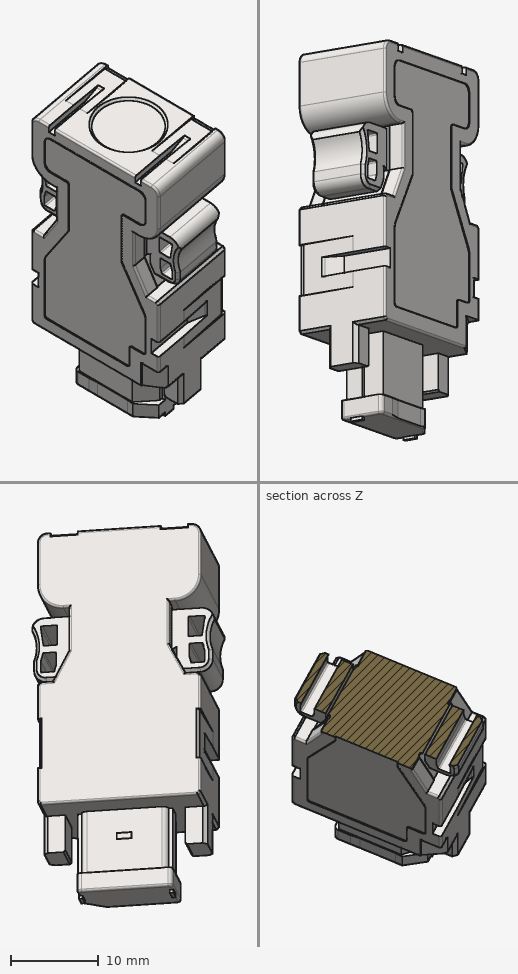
import cadquery as cq
import math

HEIGHT = 43.1
HALF_WIDTH = 9.45
HALF_DEPTH = 6.0
BODY_BOTTOM = 10.1
SHOULDER_Z = 25.0
SHOULDER_X = 7.67
NECK_X = 5.78
NECK_BOTTOM = 28.65
HEAD_BOTTOM = 33.88
HEAD_TOP_RADIUS = 1.1
HEAD_LOWER_RADIUS = 2.97
EDGE_ROUND = 0.25
CORNER_BEVEL = 0.35

PICK_MARGIN = 0.05

PANEL_DEPTH = 0.15
PANEL_X = 7.45
PANEL_TOP = 41.1
PANEL_HEAD_BOTTOM = 35.8
PANEL_NECK_X = 3.92
PANEL_NECK_BOTTOM = 28.15
PANEL_FLANK_Z = 21.65
PANEL_BOTTOM = 12.05
PANEL_STEP_X = 5.1
PANEL_STEP_Z = 15.47
PANEL_HEAD_RADIUS = 0.95
PANEL_FLANK_RADIUS = 1.3
PANEL_CORNER_RADIUS = 0.35

CLIP_X = 10.55
CLIP_HALF_DEPTH = 3.6
CLIP_TOP = 33.6
CLIP_BOTTOM = 26.0
CLIP_FOOT_X = 10.35
CLIP_FREE_X = 6.25
CLIP_FREE_TOP = 29.1
CLIP_ROOT_X = 5.17
CLIP_ROOT_BOTTOM = 28.45
CLIP_TOP_ROUND_X = 9.1
CLIP_TIP_Z = 32.3
CLIP_HOLLOW_X = 10.05
CLIP_HOLLOW_Z = 30.3
CLIP_GRIP_BOTTOM = 28.58
CLIP_FOOT_RADIUS = 1.42
CLIP_EDGE_BEVEL = 0.4
WINDOW_RADIUS = 0.17
WINDOW_UPPER = [(-7.6, 32.65), (-9.53, 32.65), (-9.2, 30.25), (-7.6, 30.25)]
WINDOW_LOWER = [(-7.7, 29.4), (-9.22, 29.4), (-9.5, 28.35), (-9.5, 27.02), (-7.95, 27.02), (-7.7, 27.8)]
SEAT_HALF_DEPTH = 4.05
SEAT_DEPTH = 0.1

GROOVE_END_Y = 2.97
RAMP_TOP_Y = 2.55
RAMP_FOOT_Y = 0.45
RAMP_TOP_DEPTH = 0.3
SIDE_GROOVE_DEPTH = 1.08
SIDE_GROOVE_BOTTOM = 16.38
SIDE_GROOVE_TOP = 18.65
TOP_GROOVE_DEPTH = 0.95
TOP_GROOVE_X = 6.4
TOP_GROOVE_WIDTH = 0.85

RELIEF_START_Y = -1.55
RELIEF_BEVEL_Y = 5.4
RELIEF_DEPTH = 0.17
RELIEF_BACK_DEPTH = 0.5
SIDE_RELIEF_BOTTOM = 14.52
SIDE_RELIEF_TOP = 20.5
TOP_RELIEF_INNER_X = 4.8
TOP_RELIEF_OUTER_X = 7.97

CAP_RADIUS = 4.5
CAP_FLOOR_RADIUS = 4.2
CAP_DEPTH = 0.3

NOTCH_X = 6.8
NOTCH_TOP = 13.88
NOTCH_TOP_BEVEL = 0.2
NOTCH_INNER_DEPTH = 0.25
NOTCH_OUTER_DEPTH = 1.72

LEG_INNER_X = 6.95
LEG_BOTTOM = 5.6
LEG_HALF_DEPTH = 2.03
LEG_CHAMFER = 0.47
LEG_TIP_CHAMFER = 0.2

PLUG_X = 5.05
PLUG_HALF_DEPTH = 2.7
PLUG_BACK_RADIUS = 0.7
PLUG_KEY_X = 2.85
PLUG_KEY_DEPTH = 2.2
FLANGE_LEFT_X = 5.6
FLANGE_RIGHT_X = 5.47
FLANGE_HALF_DEPTH = 2.9
FLANGE_BOTTOM = 0.35
FLANGE_TOP = 2.6
FLANGE_RADIUS = 0.5
FLANGE_EDGE = 0.3
FLANGE_KEY_X = 3.05
FLANGE_KEY_DEPTH = 1.72
FLANGE_RELIEF_DEPTH = 0.1
FLANGE_RELIEF_LEFT_X = -2.33
FLANGE_RELIEF_RIGHT_X = 2.15
FLANGE_RELIEF_START_X = -3.5
RIB_X = 5.47
RIB_FRONT_Y = -0.1
RIB_BACK_Y = 2.03
RIB_TIP_BACK_Y = 1.5
RIB_TIP_INNER_X = 5.05

CATCH_HALF_WIDTH = 0.85
CATCH_Y = 2.85
CATCH_BOTTOM = 6.45
CATCH_TOP = 7.2


def box(x0, x1, y0, y1, z0, z1):
    """Block given by its limits along each axis."""
    return cq.Workplane("XY").box(x1 - x0, y1 - y0, z1 - z0, centered=False).translate((x0, y0, z0))


def both_sides(left):
    """The feature together with its mirror image across the YZ plane."""
    return left.union(left.mirror("YZ"))


def front_sketch(y):
    """Plane facing -Y at depth y; local axes are X and Z, extrusion runs toward -Y."""
    return cq.Workplane("XZ", origin=(0, y, 0))


def at_points(points):
    """Selector for the edges along Y that stand on the given (x, z) corners."""
    picker = None
    for x, z in points:
        near = (x - PICK_MARGIN, -HEIGHT, z - PICK_MARGIN)
        far = (x + PICK_MARGIN, HEIGHT, z + PICK_MARGIN)
        one = cq.selectors.BoxSelector(near, far)
        picker = one if picker is None else picker + one
    return picker


def make_housing():
    bend = math.sqrt(0.5)
    half = (
        front_sketch(HALF_DEPTH)
        .moveTo(0, HEIGHT)
        .lineTo(-HALF_WIDTH + HEAD_TOP_RADIUS, HEIGHT)
        .threePointArc(
            (-HALF_WIDTH + HEAD_TOP_RADIUS * (1 - bend), HEIGHT - HEAD_TOP_RADIUS * (1 - bend)),
            (-HALF_WIDTH, HEIGHT - HEAD_TOP_RADIUS),
        )
        .lineTo(-HALF_WIDTH, HEAD_BOTTOM + HEAD_LOWER_RADIUS)
        .threePointArc(
            (-HALF_WIDTH + HEAD_LOWER_RADIUS * (1 - bend), HEAD_BOTTOM + HEAD_LOWER_RADIUS * (1 - bend)),
            (-HALF_WIDTH + HEAD_LOWER_RADIUS, HEAD_BOTTOM),
        )
        .lineTo(-NECK_X, HEAD_BOTTOM)
        .lineTo(-NECK_X, NECK_BOTTOM)
        .lineTo(-SHOULDER_X, SHOULDER_Z)
        .lineTo(-HALF_WIDTH + CORNER_BEVEL, SHOULDER_Z)
        .lineTo(-HALF_WIDTH, SHOULDER_Z - CORNER_BEVEL)
        .lineTo(-HALF_WIDTH, BODY_BOTTOM + CORNER_BEVEL)
        .lineTo(-HALF_WIDTH + CORNER_BEVEL, BODY_BOTTOM)
        .lineTo(0, BODY_BOTTOM)
        .close()
        .extrude(2 * HALF_DEPTH)
    )
    return both_sides(half).clean().faces("<Y or >Y").edges().fillet(EDGE_ROUND)


def make_panel():
    head = [(s * PANEL_X, z) for s in (-1, 1) for z in (PANEL_TOP, PANEL_HEAD_BOTTOM)]
    flanks = [(s * PANEL_X, PANEL_FLANK_Z) for s in (-1, 1)]
    neck = [(s * PANEL_NECK_X, PANEL_HEAD_BOTTOM) for s in (-1, 1)]
    step = [(PANEL_X, PANEL_STEP_Z), (PANEL_STEP_X, PANEL_STEP_Z), (PANEL_STEP_X, PANEL_BOTTOM)]
    outline = [
        (-PANEL_X, PANEL_TOP),
        (-PANEL_X, PANEL_HEAD_BOTTOM),
        (-PANEL_NECK_X, PANEL_HEAD_BOTTOM),
        (-PANEL_NECK_X, PANEL_NECK_BOTTOM),
        (-PANEL_X, PANEL_FLANK_Z),
        (-PANEL_X, PANEL_BOTTOM),
        (PANEL_STEP_X, PANEL_BOTTOM),
        (PANEL_STEP_X, PANEL_STEP_Z),
        (PANEL_X, PANEL_STEP_Z),
        (PANEL_X, PANEL_FLANK_Z),
        (PANEL_NECK_X, PANEL_NECK_BOTTOM),
        (PANEL_NECK_X, PANEL_HEAD_BOTTOM),
        (PANEL_X, PANEL_HEAD_BOTTOM),
        (PANEL_X, PANEL_TOP),
    ]
    small = neck + step + [(-PANEL_X, PANEL_BOTTOM)]
    panel = front_sketch(PANEL_DEPTH - HALF_DEPTH).polyline(outline).close().extrude(2 * PANEL_DEPTH)
    for corners, radius in (
        (head, PANEL_HEAD_RADIUS),
        (flanks, PANEL_FLANK_RADIUS),
        (small, PANEL_CORNER_RADIUS),
    ):
        panel = panel.edges("|Y").edges(at_points(corners)).fillet(radius)
    return panel


def make_clip_seat():
    """Shallow cutter that sinks the left neck side and flank behind the clip."""
    outline = [
        (-HALF_WIDTH + HEAD_LOWER_RADIUS, HEAD_BOTTOM),
        (-NECK_X + SEAT_DEPTH, HEAD_BOTTOM),
        (-NECK_X + SEAT_DEPTH, NECK_BOTTOM),
        (-SHOULDER_X + SEAT_DEPTH, SHOULDER_Z),
        (-SHOULDER_X, SHOULDER_Z),
    ]
    return front_sketch(SEAT_HALF_DEPTH).polyline(outline).close().extrude(2 * SEAT_HALF_DEPTH)


def make_clip():
    """Left clip: hooked profile, hollow grip face and bevelled grip edges."""
    foot_mid = CLIP_FOOT_RADIUS * (1 - math.sqrt(0.5))
    clip = (
        front_sketch(CLIP_HALF_DEPTH)
        .moveTo(-CLIP_ROOT_X, CLIP_TOP)
        .lineTo(-CLIP_TOP_ROUND_X, CLIP_TOP)
        .tangentArcPoint((-CLIP_X, CLIP_TIP_Z), relative=False)
        .threePointArc((-CLIP_HOLLOW_X, CLIP_HOLLOW_Z), (-CLIP_FOOT_X, CLIP_GRIP_BOTTOM))
        .lineTo(-CLIP_FOOT_X, CLIP_BOTTOM + CLIP_FOOT_RADIUS)
        .threePointArc(
            (-CLIP_FOOT_X + foot_mid, CLIP_BOTTOM + foot_mid),
            (-CLIP_FOOT_X + CLIP_FOOT_RADIUS, CLIP_BOTTOM),
        )
        .lineTo(-CLIP_FREE_X, CLIP_BOTTOM)
        .lineTo(-CLIP_FREE_X, CLIP_FREE_TOP)
        .lineTo(-CLIP_ROOT_X, CLIP_ROOT_BOTTOM)
        .close()
        .extrude(2 * CLIP_HALF_DEPTH)
    )
    grip_side = cq.selectors.BoxSelector(
        (-CLIP_X, -HEIGHT, CLIP_BOTTOM - 0.45), (-CLIP_FREE_X - 0.45, HEIGHT, CLIP_TIP_Z)
    )
    return clip.faces("<Y or >Y").edges(grip_side).chamfer(CLIP_EDGE_BEVEL)


def clip_windows():
    """Cutter for the two windows through the left clip."""
    cut = None
    for outline in (WINDOW_UPPER, WINDOW_LOWER):
        one = front_sketch(CLIP_HALF_DEPTH).polyline(outline).close().extrude(2 * CLIP_HALF_DEPTH)
        one = one.edges("|Y").fillet(WINDOW_RADIUS)
        cut = one if cut is None else cut.union(one)
    return cut


def side_plane(z):
    """On the left face at height z; extrusion runs toward +Z."""
    return cq.Workplane(cq.Plane((-HALF_WIDTH, 0, z), xDir=(0, 1, 0), normal=(0, 0, 1)))


def top_plane(x):
    """On the top face at position x; extrusion runs toward +X."""
    return cq.Workplane(cq.Plane((x, 0, HEIGHT), xDir=(0, 1, 0), normal=(1, 0, 0)))


def ramp_groove_profile(plane, depth):
    """Groove section along Y; the second local axis is the depth, taken negative into the part."""
    return (
        plane.moveTo(-HALF_DEPTH - 0.45, 0.45)
        .lineTo(-HALF_DEPTH - 0.45, -depth)
        .lineTo(RAMP_FOOT_Y, -depth)
        .lineTo(RAMP_TOP_Y, -RAMP_TOP_DEPTH)
        .lineTo(GROOVE_END_Y, 0)
        .lineTo(GROOVE_END_Y, 0.45)
        .close()
    )


def relief_profile(plane):
    """Relief section along Y, sloping gently inward from the surface to a bevel at the back face."""
    return (
        plane.moveTo(RELIEF_START_Y, 0)
        .lineTo(RELIEF_BEVEL_Y, -RELIEF_DEPTH)
        .lineTo(HALF_DEPTH, -RELIEF_BACK_DEPTH)
        .lineTo(HALF_DEPTH + 0.45, -RELIEF_BACK_DEPTH)
        .lineTo(HALF_DEPTH + 0.45, 0.45)
        .lineTo(RELIEF_START_Y, 0.45)
        .close()
    )


def left_cuts():
    """Grooves and reliefs on the left half."""
    side_groove = ramp_groove_profile(side_plane(SIDE_GROOVE_BOTTOM), SIDE_GROOVE_DEPTH)
    side_relief = relief_profile(side_plane(SIDE_RELIEF_BOTTOM))
    top_groove = ramp_groove_profile(top_plane(-TOP_GROOVE_X - TOP_GROOVE_WIDTH / 2), TOP_GROOVE_DEPTH)
    top_relief = relief_profile(top_plane(-TOP_RELIEF_OUTER_X))
    return (
        side_groove.extrude(SIDE_GROOVE_TOP - SIDE_GROOVE_BOTTOM)
        .union(side_relief.extrude(SIDE_RELIEF_TOP - SIDE_RELIEF_BOTTOM))
        .union(top_groove.extrude(TOP_GROOVE_WIDTH))
        .union(top_relief.extrude(TOP_RELIEF_OUTER_X - TOP_RELIEF_INNER_X))
    )


def make_cap_recess():
    return (
        cq.Workplane("XY", origin=(0, 0, HEIGHT - CAP_DEPTH))
        .circle(CAP_FLOOR_RADIUS)
        .workplane(offset=CAP_DEPTH)
        .circle(CAP_RADIUS)
        .loft()
    )


def make_notch():
    outline = [
        (NOTCH_X, -HALF_DEPTH - 0.45),
        (NOTCH_X, -HALF_DEPTH + NOTCH_INNER_DEPTH),
        (HALF_WIDTH, -HALF_DEPTH + NOTCH_OUTER_DEPTH),
        (HALF_WIDTH + 0.45, -HALF_DEPTH + NOTCH_OUTER_DEPTH),
        (HALF_WIDTH + 0.45, -HALF_DEPTH - 0.45),
    ]
    notch = cq.Workplane("XY", origin=(0, 0, BODY_BOTTOM - 0.45)).polyline(outline).close()
    notch = notch.extrude(NOTCH_TOP - BODY_BOTTOM + 0.45)
    middle = ((NOTCH_X + HALF_WIDTH) / 2, (NOTCH_INNER_DEPTH + NOTCH_OUTER_DEPTH) / 2 - HALF_DEPTH, NOTCH_TOP)
    return notch.edges(cq.selectors.NearestToPointSelector(middle)).chamfer(NOTCH_TOP_BEVEL)


def make_leg():
    """Left guide leg, running into the housing above it."""
    leg = box(-HALF_WIDTH, -LEG_INNER_X, -LEG_HALF_DEPTH, LEG_HALF_DEPTH, LEG_BOTTOM, BODY_BOTTOM + 0.45)
    leg = leg.edges("<X and |Z").chamfer(LEG_CHAMFER)
    return leg.edges(">X and <Z").chamfer(LEG_TIP_CHAMFER)


def keyed_block(left, right, half_depth, key_x, key_depth, z0, z1):
    """Block with its front right corner cut off obliquely from key_x outward."""
    return (
        cq.Workplane("XY", origin=(0, 0, z0))
        .polyline([
            (-left, -half_depth),
            (key_x, -half_depth),
            (right, -half_depth + key_depth),
            (right, half_depth),
            (-left, half_depth),
        ])
        .close()
        .extrude(z1 - z0)
    )


def flange_relief():
    """Shallow tapered-sided relief across the front of the flange."""
    face = -FLANGE_HALF_DEPTH
    floor = face + FLANGE_RELIEF_DEPTH
    outline = [
        (FLANGE_RELIEF_START_X, face),
        (FLANGE_RELIEF_LEFT_X, floor),
        (FLANGE_RELIEF_RIGHT_X, floor),
        (FLANGE_KEY_X, face),
    ]
    return cq.Workplane("XY").polyline(outline).close().extrude(FLANGE_TOP)


def make_plug():
    plug = keyed_block(
        PLUG_X, PLUG_X, PLUG_HALF_DEPTH, PLUG_KEY_X, PLUG_KEY_DEPTH, FLANGE_TOP - 0.45, BODY_BOTTOM + 0.45
    )
    plug = plug.edges("|Z and >Y").fillet(PLUG_BACK_RADIUS)
    flange = keyed_block(
        FLANGE_LEFT_X, FLANGE_RIGHT_X, FLANGE_HALF_DEPTH,
        FLANGE_KEY_X, FLANGE_KEY_DEPTH, FLANGE_BOTTOM, FLANGE_TOP,
    )
    flange = flange.edges("|Z and (>Y or <X)").fillet(FLANGE_RADIUS)
    flange = flange.faces("<Z").edges().fillet(FLANGE_EDGE)
    rib = box(-RIB_X, -PLUG_X + 0.45, RIB_FRONT_Y, RIB_BACK_Y, FLANGE_TOP, BODY_BOTTOM + 0.45)
    tip = box(-RIB_X, -RIB_TIP_INNER_X, RIB_FRONT_Y, RIB_TIP_BACK_Y, 0, FLANGE_TOP + 0.45)
    catch = box(-CATCH_HALF_WIDTH, CATCH_HALF_WIDTH, 0, CATCH_Y, CATCH_BOTTOM, CATCH_TOP)
    return plug.union(flange).cut(flange_relief()).union(catch).union(both_sides(rib.union(tip)))


result = (
    make_housing()
    .cut(make_panel())
    .cut(both_sides(make_clip_seat()))
    .cut(both_sides(left_cuts()))
    .cut(make_cap_recess())
    .cut(make_notch())
    .union(both_sides(make_clip().cut(clip_windows())))
    .union(both_sides(make_leg()))
    .union(make_plug())
)